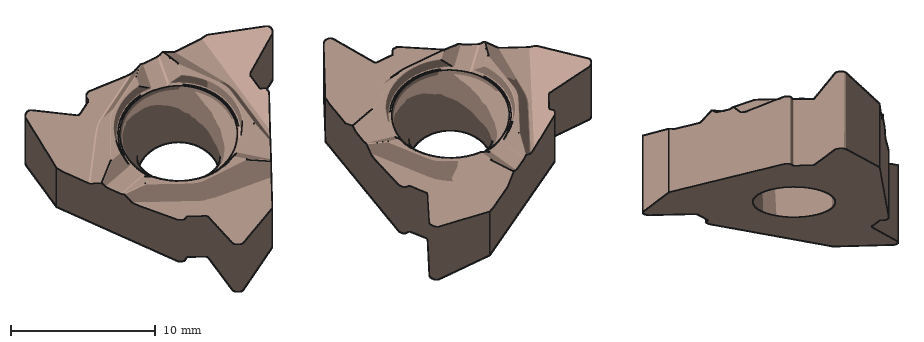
import cadquery as cq
import math

TOLERANCE = 1e-4

TEETH = 3
TOP_HEIGHT = 5.84
LAND_HEIGHT = 4.61
SIDE_DISTANCE = 6.35

TIP_HEIGHT = 9.885
TIP_LEFT_X = -4.165
TIP_RIGHT_X = -3.585
TIP_RADIUS = 0.4
SHOULDER_Y = 6.16
ROOT_X = -1.83
ROOT_Y = 6.86
ROOT_RADIUS = 0.25
STEP_X = -0.42
STEP_LEAN = 0.2
STEP_RADIUS = 0.12
RIDGE_Y = 7.22
RIDGE_RADIUS = 0.22

CREASE_Y = 5.69
FACE_ANGLE = 15
CREASE_RADIUS = 0.45
WEDGE_LEAD = 0.01
SPARE = 1

BOSS_WALL_ANGLES = (120, 90)
BOSS_FOOT_ANGLES = (112, 90)
BOSS_TOP_DISTANCES = (4.74, 4.72)
BOSS_FOOT_DISTANCES = (5.67, 5.42)
BOSS_TOP_RADIUS = 2.2
BOSS_FOOT_RADIUS = 3.4
BOSS_FOOT_BLEND = 0.2
BOSS_RIM_ROUND = 0.08

GROOVE_DIRECTION = 45
GROOVE_OFFSET = 0.075
GROOVE_FLOOR = 5.07
GROOVE_FLOOR_WIDTH = 1.18
GROOVE_TOP_WIDTH = 3.05
GROOVE_RADIUS = 0.42
GROOVE_LENGTH = 12

BORE_DIAMETER = 5.7
FLARE_RADIUS = 4.0
FLARE_TOP_RADIUS = 3.95
FLARE_TOP_HEIGHT = 4.8
LEDGE_INNER_RADIUS = 4.07
LEDGE_OUTER_RADIUS = 4.2
LEDGE_HEIGHT = 5.09
WALL_FOOT_RADIUS = 4.33
WALL_FOOT_HEIGHT = 5.19
MOUTH_RADIUS = 4.47


def turned(point, angle):
    """Rotate a 2D point about the origin by an angle in degrees."""
    c = math.cos(math.radians(angle))
    s = math.sin(math.radians(angle))
    return (point[0] * c - point[1] * s, point[0] * s + point[1] * c)


def around(shape):
    """Copies of a shape, one for each tooth."""
    pitch = 360 / TEETH
    return [shape.rotate((0, 0, 0), (0, 0, 1), -i * pitch) for i in range(TEETH)]


def make_blank():
    """Full-height prism of the insert outline, with its corners rounded."""
    side_normal = math.radians(180 / TEETH)
    ridge_end_x = (SIDE_DISTANCE - RIDGE_Y * math.sin(side_normal)) / math.cos(side_normal)
    corners = [
        ((-SIDE_DISTANCE, SHOULDER_Y), 0),
        ((TIP_LEFT_X, TIP_HEIGHT), TIP_RADIUS),
        ((TIP_RIGHT_X, TIP_HEIGHT), TIP_RADIUS),
        ((ROOT_X, ROOT_Y), ROOT_RADIUS),
        ((STEP_X, ROOT_Y), STEP_RADIUS),
        ((STEP_X + STEP_LEAN, RIDGE_Y), RIDGE_RADIUS),
        ((ridge_end_x, RIDGE_Y), RIDGE_RADIUS),
    ]
    placed = []
    for i in range(TEETH):
        placed += [(turned(p, -i * 360 / TEETH), r) for p, r in corners]
    blank = cq.Workplane("XY").polyline([p for p, r in placed]).close().extrude(TOP_HEIGHT)
    for radius in sorted({r for p, r in placed if r > 0}):
        points = [p for p, r in placed if r == radius]
        edges = [e for e in blank.edges("|Z").vals()
                 if any(math.dist((e.Center().x, e.Center().y), p) < TOLERANCE for p in points)]
        blank = blank.newObject(edges).fillet(radius)
    return blank


def make_tooth_wedge():
    """Material above the land under one sloped tooth face, with a rounded crease."""
    slope = math.radians(FACE_ANGLE)
    tangent = CREASE_RADIUS * math.tan(slope / 2)
    crease_end = (CREASE_Y + tangent * math.cos(slope), LAND_HEIGHT + tangent * math.sin(slope))
    wedge_start = CREASE_Y - tangent - WEDGE_LEAD
    end_y = TIP_HEIGHT + SPARE
    half_width = 2 * SIDE_DISTANCE
    return (
        cq.Workplane("YZ", origin=(-half_width, 0, 0))
        .moveTo(wedge_start, LAND_HEIGHT)
        .lineTo(CREASE_Y - tangent, LAND_HEIGHT)
        .tangentArcPoint(crease_end, relative=False)
        .lineTo(end_y, LAND_HEIGHT + (end_y - CREASE_Y) * math.tan(slope))
        .lineTo(end_y, 0)
        .lineTo(wedge_start, 0)
        .close()
        .extrude(2 * half_width)
    )


def crossing(angle_a, distance_a, angle_b, distance_b):
    """Meeting point of two lines given by normal angle and distance from the axis."""
    a = math.radians(angle_a)
    b = math.radians(angle_b)
    det = math.sin(b - a)
    x = (distance_a * math.sin(b) - distance_b * math.sin(a)) / det
    y = (distance_b * math.cos(a) - distance_a * math.cos(b)) / det
    return (x, y)


def boss_outline(angles, distances, radius, height):
    """Closed wire of the boss at one height: two straight walls and one round per third."""
    first, second = angles
    pitch = 360 / TEETH
    corner = crossing(first, distances[0], second, distances[1])
    outer = crossing(second, distances[1], first - pitch, distances[0])
    tangent = radius * math.tan(math.radians(first - second) / 2)
    along_first = math.radians(first - 90)
    along_second = math.radians(second - 90)
    arc_start = (corner[0] - tangent * math.cos(along_first), corner[1] - tangent * math.sin(along_first))
    arc_end = (corner[0] + tangent * math.cos(along_second), corner[1] + tangent * math.sin(along_second))
    sketch = cq.Workplane("XY", origin=(0, 0, height)).moveTo(*turned(outer, pitch))
    for i in range(TEETH):
        angle = -i * pitch
        sketch = sketch.lineTo(*turned(arc_start, angle))
        sketch = sketch.tangentArcPoint(turned(arc_end, angle), relative=False)
        sketch = sketch.lineTo(*turned(outer, angle))
    return sketch.close().val()


def make_groove():
    """Cutter for one flared groove running outward from the axis."""
    half_floor = GROOVE_FLOOR_WIDTH / 2
    half_top = GROOVE_TOP_WIDTH / 2
    groove = (
        cq.Workplane("YZ")
        .polyline([(-half_floor, GROOVE_FLOOR), (half_floor, GROOVE_FLOOR),
                   (half_top, TOP_HEIGHT), (-half_top, TOP_HEIGHT)])
        .close()
        .extrude(GROOVE_LENGTH)
        .edges("|X and <Z")
        .fillet(GROOVE_RADIUS)
    )
    return groove.translate((0, GROOVE_OFFSET, 0)).rotate((0, 0, 0), (0, 0, 1), GROOVE_DIRECTION)


def make_bore():
    """Revolved cutter: straight bore, trumpet-shaped seat, ledge and conical mouth."""
    bore_radius = BORE_DIAMETER / 2
    flare_end = math.acos(1 - (FLARE_TOP_RADIUS - bore_radius) / FLARE_RADIUS)
    flare_base = FLARE_TOP_HEIGHT - FLARE_RADIUS * math.sin(flare_end)
    return (
        cq.Workplane("XZ")
        .moveTo(0, 0)
        .lineTo(bore_radius, 0)
        .lineTo(bore_radius, flare_base)
        .tangentArcPoint((FLARE_TOP_RADIUS, FLARE_TOP_HEIGHT), relative=False)
        .lineTo(LEDGE_INNER_RADIUS, LEDGE_HEIGHT)
        .lineTo(LEDGE_OUTER_RADIUS, LEDGE_HEIGHT)
        .tangentArcPoint((WALL_FOOT_RADIUS, WALL_FOOT_HEIGHT), relative=False)
        .lineTo(MOUTH_RADIUS, TOP_HEIGHT)
        .lineTo(0, TOP_HEIGHT)
        .close()
        .revolve(360, (0, 0, 0), (0, 1, 0))
    )


def is_rim_edge(edge):
    """True for the top edges of the boss and of the flared groove walls."""
    box = edge.BoundingBox()
    if box.zmax < TOP_HEIGHT - TOLERANCE:
        return False
    if box.zmin > TOP_HEIGHT - TOLERANCE:
        return True
    return box.zmin > GROOVE_FLOOR


def is_foot_edge(edge):
    """True for the edges where the boss walls meet the land."""
    box = edge.BoundingBox()
    on_land = abs(box.zmin - LAND_HEIGHT) < TOLERANCE and abs(box.zmax - LAND_HEIGHT) < TOLERANCE
    return on_land and box.ymax < TIP_HEIGHT


def make_bossed_plate():
    """Flat land with the boss on it, bored and grooved, with its rim and foot rounded."""
    foot = boss_outline(BOSS_FOOT_ANGLES, BOSS_FOOT_DISTANCES, BOSS_FOOT_RADIUS, LAND_HEIGHT)
    top = boss_outline(BOSS_WALL_ANGLES, BOSS_TOP_DISTANCES, BOSS_TOP_RADIUS, TOP_HEIGHT)
    plate = cq.Workplane("XY").circle(2 * TIP_HEIGHT).extrude(LAND_HEIGHT)
    plate = plate.union(cq.Workplane(cq.Solid.makeLoft([foot, top], True)))
    plate = plate.cut(make_bore())
    for groove in around(make_groove()):
        plate = plate.cut(groove)
    rim_edges = [e for e in plate.edges().vals() if is_rim_edge(e)]
    plate = plate.newObject(rim_edges).fillet(BOSS_RIM_ROUND)
    foot_edges = [e for e in plate.edges().vals() if is_foot_edge(e)]
    return plate.newObject(foot_edges).fillet(BOSS_FOOT_BLEND)


core = make_bossed_plate()
for wedge in around(make_tooth_wedge()):
    core = core.union(wedge)
result = make_blank().intersect(core)